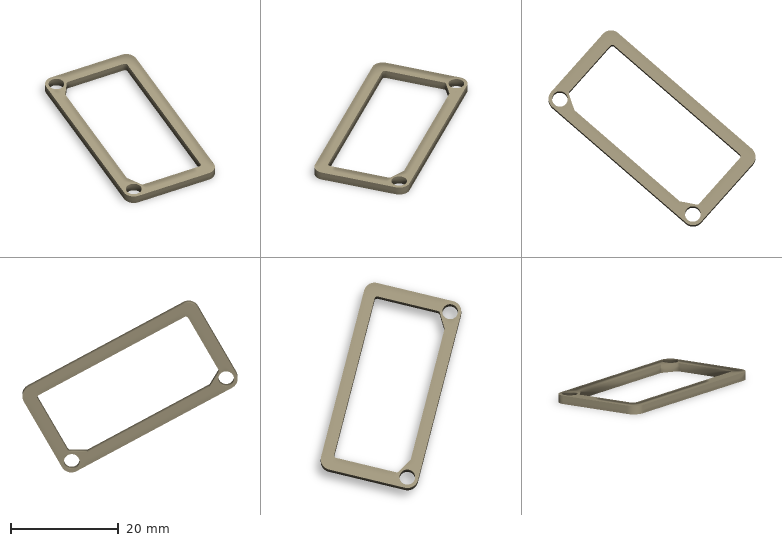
import cadquery as cq

length = 37.0
width = 18.5
thickness = 1.59
corner_radius = 2.0

side_wall = 2.5
end_wall = 2.25
window_length = length - 2 * side_wall
window_width = width - 2 * end_wall
window_radius = 0.5

slope_run = 3.0
slope_rise = 1.75

hole_diameter = 2.9
hole_inset_x = 2.1
hole_inset_y = 2.05


def make_plate():
    plate = cq.Workplane("XY").rect(length, width).extrude(thickness)
    return plate.edges("|Z").fillet(corner_radius)


def make_window():
    half_x = window_length / 2
    half_y = window_width / 2
    outline = [
        (-half_x, half_y),
        (half_x, half_y),
        (half_x, -half_y + slope_rise),
        (half_x - slope_run, -half_y),
        (-half_x + slope_run, -half_y),
        (-half_x, -half_y + slope_rise),
    ]
    window = cq.Workplane("XY").polyline(outline).close().extrude(thickness)
    side_wall_ends = window.faces("<X or >X").edges("|Z")
    return side_wall_ends.fillet(window_radius)


def make_holes():
    hole_x = length / 2 - hole_inset_x
    hole_y = -width / 2 + hole_inset_y
    centers = [(-hole_x, hole_y), (hole_x, hole_y)]
    return cq.Workplane("XY").pushPoints(centers).circle(hole_diameter / 2).extrude(thickness)


result = make_plate().cut(make_window()).cut(make_holes())